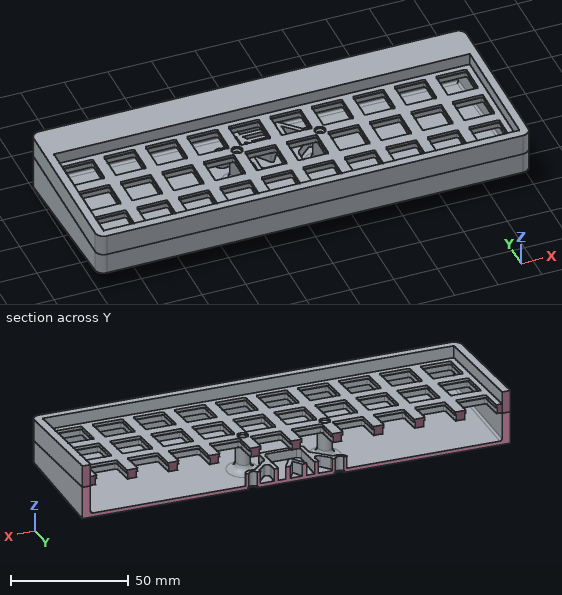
import cadquery as cq
import math


LENGTH = 198.8
DEPTH = 78.7
TOP_HEIGHT = 10.0
BASE_REAR_HEIGHT = 16.9
TILT = math.radians(5.0)
CORNER_RADIUS = 4.0
WALL = 4.0

COLUMNS = 10
ROWS = 3
KEY_HOLE = 14.0
KEY_HOLE_RADIUS = 0.5
CLIP_RELIEF_RADIUS = 1.0
CLIP_LIP = 1.5
CLIP_RELIEF = 0.5
PLATE_THICKNESS = 4.4
WINDOW_LENGTH = LENGTH - 2 * WALL
WINDOW_MARGIN = 0.2
KEY_PITCH = (WINDOW_LENGTH - 2 * WINDOW_MARGIN) / COLUMNS
WINDOW_DEPTH = ROWS * KEY_PITCH + 2 * WINDOW_MARGIN
WINDOW_Y = -DEPTH / 2 + WALL + WINDOW_DEPTH / 2

SCREW_X = KEY_PITCH
SCREW_Y = WINDOW_Y + KEY_PITCH / 2
SCREW_POINTS = [(-SCREW_X, SCREW_Y), (SCREW_X, SCREW_Y)]
SCREW_DIAMETER = 2.4
SCREW_SEAT_DIAMETER = 4.8
SCREW_SEAT_DEPTH = 0.8
SCREW_HEAD_DIAMETER = 4.2
PILOT_DIAMETER = 1.5
COUNTERSINK_ANGLE = 90
SCREW_HOLE_DEPTH = 6.0
BOSS_DIAMETER = 6.4
BOSS_FILLET = 4.0

FLOOR = 2.0
FLOOR_FILLET = 1.0
REAR_Y = DEPTH / 2
CAVITY_REAR_Y = REAR_Y - WALL

RIB = 2.0
RIB_TOP = -7.4
RIB_FILLET = 1.5
POST_FILLET = 1.0
BOX_HALF_WIDTH = 10.3
BOX_FRONT_Y = -1.0
POST_X = 20.0
POST_Y = 17.3
POST_POINTS = [(-POST_X, POST_Y), (POST_X, POST_Y)]
POST_DIAMETER = 7.2
POST_HOLE = 4.0
POST_RECESS = 4.8
POST_RECESS_DEPTH = 0.8
V_TIP_Y = 10.5
V_ANGLE = math.radians(58)
BAR_YS = (21.7, 25.8)


def underside(y, offset=0.0):
    """Height of the sloping underside at y, raised by offset."""
    return -BASE_REAR_HEIGHT + (REAR_Y - y) * math.tan(TILT) + offset


def wedge(length, front_y, rear_y, top, offset):
    """Block with a flat top whose bottom runs parallel to the sloping underside."""
    return (
        cq.Workplane("YZ")
        .polyline(
            [
                (front_y, top),
                (rear_y, top),
                (rear_y, underside(rear_y, offset)),
                (front_y, underside(front_y, offset)),
            ]
        )
        .close()
        .extrude(length / 2, both=True)
    )


def rib(start, end):
    """Straight rib between two floor points, deep enough to reach below the floor."""
    dx, dy = end[0] - start[0], end[1] - start[1]
    return (
        cq.Workplane("XY")
        .box(math.hypot(dx, dy), RIB, BASE_REAR_HEIGHT, centered=(True, True, False))
        .rotate((0, 0, 0), (0, 0, 1), math.degrees(math.atan2(dy, dx)))
        .translate(((start[0] + end[0]) / 2, (start[1] + end[1]) / 2, RIB_TOP - BASE_REAR_HEIGHT))
    )


def rib_post(x, y, diameter):
    """Round post as tall as the ribs."""
    return cq.Workplane("XY", origin=(x, y, RIB_TOP)).circle(diameter / 2).extrude(-BASE_REAR_HEIGHT)


def make_ribs():
    side_x = BOX_HALF_WIDTH - RIB / 2
    front_y = BOX_FRONT_Y + RIB / 2
    arm = POST_X - side_x
    v_rise = side_x * math.tan(V_ANGLE)
    ribs = rib((-BOX_HALF_WIDTH, front_y), (BOX_HALF_WIDTH, front_y))
    for y in BAR_YS:
        ribs = ribs.union(rib((-side_x, y), (side_x, y)))
    ribs = ribs.union(rib_post(0, V_TIP_Y, RIB))
    for side in (-1, 1):
        ribs = ribs.union(rib((side * side_x, BOX_FRONT_Y), (side * side_x, REAR_Y)))
        ribs = ribs.union(rib((0, V_TIP_Y), (side * side_x, V_TIP_Y + v_rise)))
        for turn in (-1, 1):
            ribs = ribs.union(rib((side * POST_X, POST_Y), (side * side_x, POST_Y + turn * arm)))
        ribs = ribs.union(rib_post(side * POST_X, POST_Y, POST_DIAMETER))
    for side in (-1, 1):
        box_corners = cq.selectors.BoxSelector(
            (side * (BOX_HALF_WIDTH - 1.5 * RIB), BOX_FRONT_Y - RIB, -LENGTH),
            (side * (BOX_HALF_WIDTH + RIB), POST_Y, LENGTH),
        )
        ribs = ribs.edges("|Z").edges(box_corners).fillet(RIB_FILLET)
        post_corners = cq.selectors.BoxSelector(
            (side * (POST_X - POST_DIAMETER), POST_Y - POST_DIAMETER, -LENGTH),
            (side * (POST_X - RIB / 2), POST_Y + POST_DIAMETER, LENGTH),
        )
        ribs = ribs.edges("|Z").edges(post_corners).fillet(POST_FILLET)
    return ribs


def make_base():
    base = wedge(LENGTH, -REAR_Y, REAR_Y, 0, 0).edges("|Z").fillet(CORNER_RADIUS)
    cavity = wedge(WINDOW_LENGTH, -CAVITY_REAR_Y, CAVITY_REAR_Y, 0, FLOOR)
    base = base.cut(cavity.faces("<Z").edges().fillet(FLOOR_FILLET))

    inside = wedge(LENGTH - WALL, -REAR_Y + WALL / 2, REAR_Y - WALL / 2, 0, FLOOR / 2)
    bosses = cq.Workplane("XY").pushPoints(SCREW_POINTS).circle(BOSS_DIAMETER / 2).extrude(-BASE_REAR_HEIGHT)
    base = base.union(bosses.intersect(inside))
    boss_feet = cq.selectors.BoxSelector(
        (-LENGTH / 2, SCREW_Y - BOSS_DIAMETER / 2, underside(SCREW_Y)),
        (LENGTH / 2, SCREW_Y + BOSS_DIAMETER / 2, underside(SCREW_Y, BOSS_FILLET)),
    )
    base = base.edges("%ELLIPSE").edges(boss_feet).fillet(BOSS_FILLET)
    base = base.union(make_ribs().intersect(inside))

    screw_holes = cq.Workplane("XY").pushPoints(SCREW_POINTS).circle(PILOT_DIAMETER / 2).extrude(-SCREW_HOLE_DEPTH)
    post_holes = (
        cq.Workplane("XY", origin=(0, 0, RIB_TOP))
        .pushPoints(POST_POINTS)
        .circle(POST_HOLE / 2)
        .extrude(-BASE_REAR_HEIGHT)
    )
    recesses = (
        cq.Workplane("XY", origin=(0, 0, underside(POST_Y, POST_RECESS_DEPTH)))
        .pushPoints(POST_POINTS)
        .circle(POST_RECESS / 2)
        .extrude(-BASE_REAR_HEIGHT)
    )
    return base.cut(screw_holes).cut(post_holes).cut(recesses)


def make_top():
    top = cq.Workplane("XY").box(LENGTH, DEPTH, TOP_HEIGHT, centered=(True, True, False))
    top = top.edges("|Z").fillet(CORNER_RADIUS)
    window = cq.Workplane("XY", origin=(0, WINDOW_Y, 0)).rect(WINDOW_LENGTH, WINDOW_DEPTH).extrude(TOP_HEIGHT)
    return top.cut(window)


def key_cutouts(size, radius, height):
    return (
        cq.Workplane("XY", origin=(0, WINDOW_Y, 0))
        .rarray(KEY_PITCH, KEY_PITCH, COLUMNS, ROWS)
        .rect(size, size)
        .extrude(height)
        .edges("|Z")
        .fillet(radius)
    )


def make_plate():
    plate = cq.Workplane("XY", origin=(0, WINDOW_Y, 0)).rect(WINDOW_LENGTH, WINDOW_DEPTH).extrude(PLATE_THICKNESS)
    plate = plate.cut(key_cutouts(KEY_HOLE, KEY_HOLE_RADIUS, PLATE_THICKNESS))
    plate = plate.cut(key_cutouts(KEY_HOLE + 2 * CLIP_RELIEF, CLIP_RELIEF_RADIUS, PLATE_THICKNESS - CLIP_LIP))
    seats = (
        cq.Workplane("XY", origin=(0, 0, PLATE_THICKNESS))
        .pushPoints(SCREW_POINTS)
        .circle(SCREW_SEAT_DIAMETER / 2)
        .extrude(-SCREW_SEAT_DEPTH)
    )
    plate = plate.cut(seats)
    return (
        cq.Workplane("XY", origin=(0, 0, PLATE_THICKNESS - SCREW_SEAT_DEPTH))
        .add(plate)
        .pushPoints(SCREW_POINTS)
        .cskHole(SCREW_DIAMETER, SCREW_HEAD_DIAMETER, COUNTERSINK_ANGLE)
    )


base = make_base()
top = make_top()
plate = make_plate()
result = cq.Compound.makeCompound([base.val(), top.val(), plate.val()])